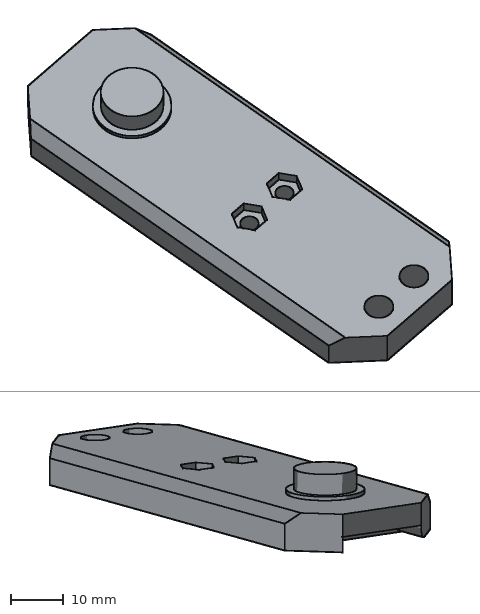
import cadquery as cq

length = 91.85
width = 34.3
plate_height = 7.4
corner_cut = 7.9
top_chamfer = 2.2

total_height = 12.2
button_x = -27.6
collar_diameter = 15.0
collar_height = 0.7
button_diameter = 11.9

row_spacing = 10.0
screw_x = 6.9
screw_diameter = 3.5
nut_across_flats = 6.0
nut_depth = 2.0
end_hole_x = 40.0
end_hole_diameter = 5.5

recess_width = width - 2 * corner_cut
recess_height = 3.0
recess_length = 9.2
recess_edge_radius = 2.8


def make_plate():
    """Plate with cut corners and chamfered long top edges."""
    half_width = width / 2
    profile = (
        cq.Workplane("YZ")
        .moveTo(-half_width, 0)
        .lineTo(half_width, 0)
        .lineTo(half_width, plate_height - top_chamfer)
        .lineTo(half_width - top_chamfer, plate_height)
        .lineTo(-half_width + top_chamfer, plate_height)
        .lineTo(-half_width, plate_height - top_chamfer)
        .close()
        .extrude(length / 2, both=True)
    )
    outline = (
        cq.Workplane("XY")
        .rect(length, width)
        .extrude(plate_height)
        .edges("|Z")
        .chamfer(corner_cut)
    )
    return profile.intersect(outline)


def make_recess():
    """Recess cutter whose -Y side ends in a rounded edge at the underside."""
    half_width = recess_width / 2
    radius = recess_edge_radius
    return (
        cq.Workplane("YZ", origin=(-length / 2, 0, 0))
        .moveTo(half_width, 0)
        .lineTo(half_width, recess_height)
        .lineTo(-half_width, recess_height)
        .lineTo(-half_width, radius)
        .radiusArc((-half_width - radius, 0), radius)
        .close()
        .extrude(recess_length)
    )


def make_button():
    """Button standing on a thin collar on the top face."""
    collar = cq.Workplane("XY").circle(collar_diameter / 2).extrude(collar_height)
    button = cq.Workplane("XY").circle(button_diameter / 2).extrude(total_height - plate_height)
    return collar.union(button).translate((button_x, 0, plate_height))


def cut_holes(body, y):
    """Cut one row: a screw hole with its nut pocket, and a plain end hole."""
    screw = cq.Workplane("XY").center(screw_x, y).circle(screw_diameter / 2).extrude(plate_height)
    nut = (
        cq.Workplane("XY", origin=(screw_x, y, plate_height - nut_depth))
        .polygon(6, nut_across_flats, circumscribed=True)
        .extrude(nut_depth)
    )
    end_hole = cq.Workplane("XY").center(end_hole_x, y).circle(end_hole_diameter / 2).extrude(plate_height)
    return body.cut(screw).cut(nut).cut(end_hole)


result = make_plate().cut(make_recess()).union(make_button())
for side in (-1, 1):
    result = cut_holes(result, side * row_spacing / 2)